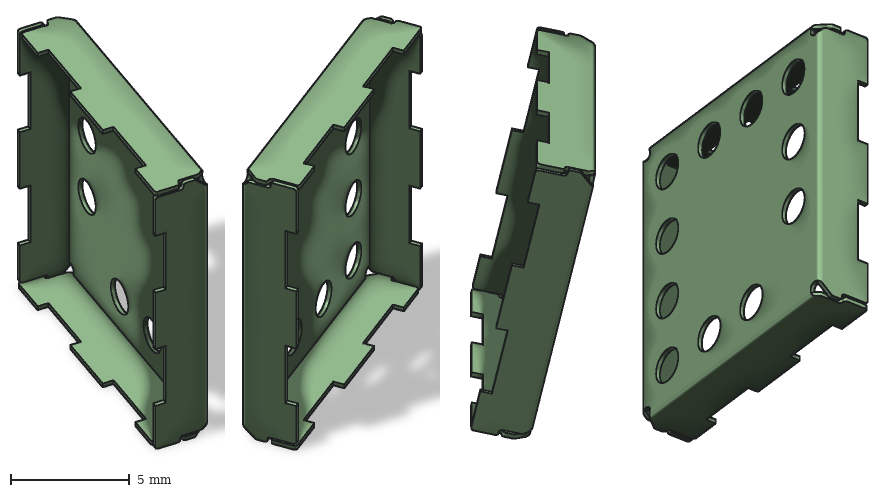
import cadquery as cq

width = 12.7
depth = 2.54
height = 13.66
sheet = 0.2
bend_radius = 0.19

tab_clearance = 0.1
back_tab_end = 1.2
front_tab_start = 1.35
bevel_length = 0.57
bevel_depth = 0.67
corner_round = 0.14
step = sheet + tab_clearance

recess_width = 3.0
recess_depth = 0.5
recess_offset = 3.0

hole_diameter = 1.6
hole_pitch_x = 3.0
hole_pitch_z = 3.25
hole_columns = 4
hole_rows = 4
relief_radius = 0.27
relief_inset = 0.34

back_y = depth / 2
front_y = -depth / 2


def make_wall(length, span):
    """Wall on +Z, `length` long in X, for a lid `span` high; back tab at -X, front tab at +X."""
    end = length / 2
    inner_end = end - step
    bevel_x = end - bevel_length
    bevel_y = back_y - bevel_depth
    step_bevel_y = bevel_y + step * bevel_depth / bevel_length
    back_tab_y = back_y - back_tab_end
    front_tab_y = back_y - front_tab_start

    bend_corners = [(-bevel_x, back_y), (bevel_x, back_y)]
    front_tab_corners = [
        (inner_end, step_bevel_y),
        (inner_end, front_tab_y),
        (end, front_tab_y),
        (end, front_y),
    ]
    back_tab_corners = [
        (-inner_end, front_y),
        (-inner_end, back_tab_y),
        (-end, back_tab_y),
        (-end, bevel_y),
    ]
    outline = bend_corners + front_tab_corners + back_tab_corners
    wall = cq.Workplane("XY", origin=(0, 0, span / 2 - sheet)).polyline(outline).close().extrude(sheet)
    for x, y in front_tab_corners + back_tab_corners:
        corner = cq.selectors.NearestToPointSelector((x, y, span / 2 - sheet / 2))
        wall = wall.edges(corner).fillet(corner_round)

    recesses = (
        cq.Workplane("XY", origin=(0, front_y, span / 2))
        .pushPoints([(-recess_offset, 0), (recess_offset, 0)])
        .rect(recess_width, 2 * recess_depth)
        .extrude(-sheet)
    )
    return wall.cut(recesses)


def hole_centres():
    """Holes follow the border of the grid; the corner at -X, -Z is left solid."""
    centres = []
    for row in range(hole_rows):
        for column in range(hole_columns):
            on_border = row in (0, hole_rows - 1) or column in (0, hole_columns - 1)
            is_solid_corner = row == 0 and column == 0
            if on_border and not is_solid_corner:
                x = (column - (hole_columns - 1) / 2) * hole_pitch_x
                z = (row - (hole_rows - 1) / 2) * hole_pitch_z
                centres.append((x, z))
    return centres


def make_plate():
    """Flat plate between the walls, with its holes and round corner reliefs."""
    relief_x = width / 2 - relief_inset
    relief_z = height / 2 - relief_inset
    back = cq.Workplane("XZ", origin=(0, back_y, 0))
    plate = back.rect(width - 2 * sheet, height - 2 * sheet).extrude(sheet)
    holes = back.pushPoints(hole_centres()).circle(hole_diameter / 2).extrude(sheet)
    reliefs = back.rect(2 * relief_x, 2 * relief_z, forConstruction=True).vertices()
    reliefs = reliefs.circle(relief_radius).extrude(sheet)
    return plate.cut(holes).cut(reliefs)


body = make_plate()
for quarter in range(4):
    if quarter % 2 == 0:
        wall = make_wall(width, height)
    else:
        wall = make_wall(height, width)
    body = body.union(wall.rotate((0, 0, 0), (0, 1, 0), 90 * quarter))

envelope = cq.Workplane("XY").box(width, depth, height).faces(">Y").edges().fillet(bend_radius)
result = body.intersect(envelope)